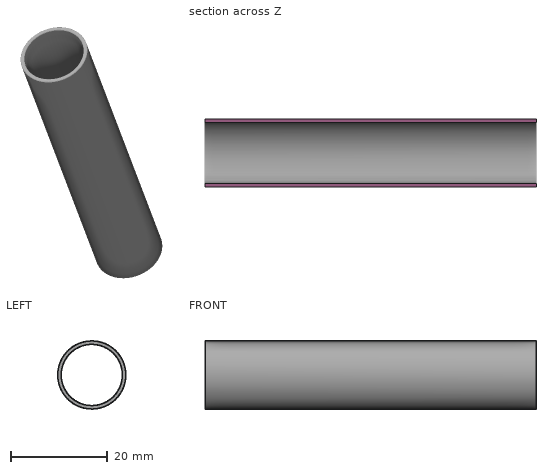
import cadquery as cq

length = 68.75
outer_diameter = 14.2
bore_diameter = 12.6
edge_chamfer = 0.1

tube = (
    cq.Workplane("YZ", origin=(-length / 2, 0, 0))
    .circle(outer_diameter / 2)
    .circle(bore_diameter / 2)
    .extrude(length)
)

end_edges = tube.faces("<X or >X").edges()
result = end_edges.chamfer(edge_chamfer)